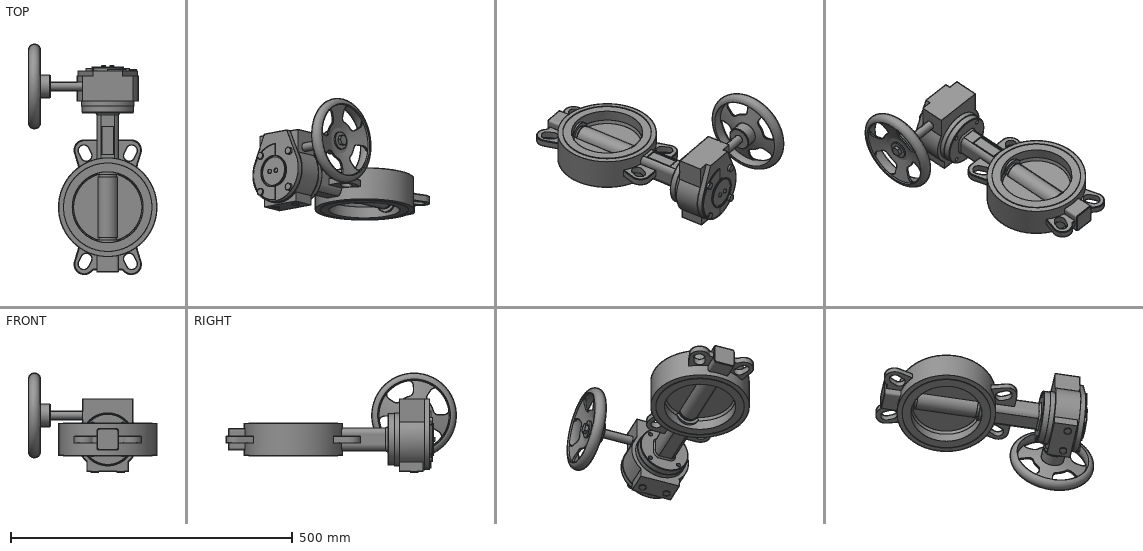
import cadquery as cq
import math


RING_RADIUS = 87.5
RING_HALF_HEIGHT = 28.2
SEAT_RADIUS = 78.5
SEAT_HALF_HEIGHT = 29.5
BORE_RADIUS = 63.0
THROAT_RAMP_Z = 10.0
THROAT_RADIUS = 60.5

DISC_HALF_THICKNESS = 4.0
HUB_RADIUS = 18.0
HUB_HALF_LENGTH = 54.0
STEM_RADIUS = 16.5
COLLAR_RADIUS = 22.5
COLLAR_START_Y = 58.5

LUG_X = 41.7
LUG_Y = 101.5
LUG_RADIUS = 18.0
LUG_THICKNESS = 12.3
LUG_ROOT_X = 50.5
LUG_ROOT_Y = 67.5
LUG_EDGE_CHAMFER = 1.2
LOWER_WEB_Y = 111.2
LOWER_WEB_FILLET = 4.0
SLOT_RADIUS = 10.0
SLOT_OUTER = (42.5, 100.5)
SLOT_INNER = (38.0, 91.5)

NECK_HALF_WIDTH = 19.2
NECK_HALF_HEIGHT = 20.5
NECK_TOP_FLAT = 12.0
NECK_SIDE_FLAT = 7.8
NECK_BULGE = (17.0, 16.0)
NECK_FLARE_LENGTH = 3.5
NECK_FLARE = 2.0
LABEL_WIDTH = 20.5
LABEL_START_Y = 93.5
LABEL_END_Y = 143.0
LABEL_DEPTH = 2.0
FOOT_HALF_SIZE = 19.2
FOOT_END_Y = 115.5
FOOT_CORNER = 4.5
FOOT_END_CHAMFER = 1.2

FLANGE_START_Y = 167.5
FLANGE_SPLIT_Y = 179.5
FLANGE_RADIUS = 46.0
GEARBOX_FLANGE_RADIUS = 47.0
FLANGE_CHAMFER = 1.2
BOLT_CIRCLE_RADIUS = 38.0
BOLT_HOLE_RADIUS = 3.5
BOLT_HOLE_DEPTH = 6.0

CASE_START_Y = 188.0
CASE_END_Y = 232.7
CASE_RADIUS = 54.5
COVER_RADIUS = 53.0
COVER_END_Y = 242.0
RIM_PLATE_RADIUS = 50.7
RIM_PLATE_END_Y = 244.0
BLOCK_HALF_WIDTH = 44.5
BLOCK_TOP_Z = 72.0
BLOCK_TONGUE_WIDTH = 52.5
BASE_WIDTH = 73.5
BASE_BOTTOM_Z = -57.0
BASE_END_Y = 230.0
PAD_RADIUS = 6.5
PAD_X = 23.0
PAD_Y = 214.7
PAD_BOTTOM_Z = -59.0
SCREW_OFFSET = 32.7
SCREW_RADIUS = 6.0
SCREW_END_Y = 246.5
CAP_BASE_RADIUS = 25.8
CAP_RADIUS = 28.2
CAP_LIP = 1.5
CAP_END_Y = 249.0
POINTER_X = 7.5
POINTER_RADIUS = 3.5
POINTER_FILLET = 1.5
POINTER_END_Y = 251.5

WHEEL_Y = 214.5
WHEEL_Z = 42.5
WHEEL_RADIUS = 75.3
WHEEL_FRONT_X = -140.5
RIM_WIDTH = 21.3
RIM_INNER_BULGE = 2.5
SHAFT_RADIUS = 7.8
WHEEL_HUB_RADIUS = 20.5
WHEEL_HUB_END_X = -102.0
WHEEL_HUB_CHAMFER = 1.2
WEB_THICKNESS = 3.3
WEB_OUTER_X = -138.2
WEB_INNER_X = -126.8
WEB_HUB_RADIUS = 23.0
BOSS_RADIUS = 15.5
BOSS_HEIGHT = 3.0
NUT_FLATS = 16.0
NUT_HEIGHT = 6.0
WINDOW_COUNT = 4
WINDOW_INNER_RADIUS = 35.0
WINDOW_OUTER_RADIUS = 63.5
WINDOW_HALF_ANGLE = 27.4
WINDOW_FIRST_ANGLE = 29.0
WINDOW_CORNER = 9.5


def y_cylinder(radius, start_y, end_y, x=0, z=0):
    """Cylinder along Y between two Y positions."""
    length = end_y - start_y
    return cq.Workplane("XZ", origin=(x, start_y, z)).circle(radius).extrude(-length)


def x_cylinder(radius, start_x, end_x):
    """Cylinder along X on the handwheel axis."""
    return cq.Workplane("YZ", origin=(start_x, WHEEL_Y, WHEEL_Z)).circle(radius).extrude(end_x - start_x)


def box_between(x_range, y_range, z_range):
    """Box given by its limits along each axis."""
    size = [limits[1] - limits[0] for limits in (x_range, y_range, z_range)]
    corner = (x_range[0], y_range[0], z_range[0])
    return cq.Workplane("XY").box(*size, centered=False).translate(corner)



def ring():
    """Ring with a slightly raised seat on both faces."""
    body = cq.Workplane("XY").circle(RING_RADIUS).extrude(RING_HALF_HEIGHT, both=True)
    seat = cq.Workplane("XY").circle(SEAT_RADIUS).extrude(SEAT_HALF_HEIGHT, both=True)
    return body.union(seat)


def bore():
    """Straight passage with a narrower throat gripping the disc."""
    profile = [
        (0, -SEAT_HALF_HEIGHT),
        (BORE_RADIUS, -SEAT_HALF_HEIGHT),
        (BORE_RADIUS, -THROAT_RAMP_Z),
        (THROAT_RADIUS, -DISC_HALF_THICKNESS),
        (THROAT_RADIUS, DISC_HALF_THICKNESS),
        (BORE_RADIUS, THROAT_RAMP_Z),
        (BORE_RADIUS, SEAT_HALF_HEIGHT),
        (0, SEAT_HALF_HEIGHT),
    ]
    return cq.Workplane("XZ").polyline(profile).close().revolve(360, (0, 0), (0, 1))


def disc():
    """Closing plate with its hub and the stem ends entering collars on the bore wall."""
    plate = cq.Workplane("XY").circle(THROAT_RADIUS).extrude(DISC_HALF_THICKNESS, both=True)
    hub = y_cylinder(HUB_RADIUS, -HUB_HALF_LENGTH, HUB_HALF_LENGTH)
    collar_end = (BORE_RADIUS + RING_RADIUS) / 2
    stem = y_cylinder(STEM_RADIUS, -collar_end, collar_end)
    collar = y_cylinder(COLLAR_RADIUS, COLLAR_START_Y, collar_end)
    return plate.union(hub).union(stem).union(collar).union(collar.mirror("XZ"))


def lug(x_side, y_side, web_y):
    """Rounded ear tapering into the ring, with a web reaching the neck."""
    reach = math.hypot(LUG_ROOT_X - LUG_X, LUG_Y - LUG_ROOT_Y)
    lean = math.atan2(LUG_ROOT_X - LUG_X, LUG_Y - LUG_ROOT_Y)
    tangent_angle = math.acos(LUG_RADIUS / reach) + lean - math.pi / 2
    tangent = (
        LUG_X + LUG_RADIUS * math.cos(tangent_angle),
        LUG_Y + LUG_RADIUS * math.sin(tangent_angle),
    )
    web = cq.Workplane("XY").polyline(
        [(0, LUG_ROOT_Y), (LUG_ROOT_X, LUG_ROOT_Y), tangent, (LUG_X, LUG_Y), (LUG_X, web_y), (0, web_y)]
    )
    ear = web.close().extrude(LUG_THICKNESS)
    ear = ear.union(cq.Workplane("XY").center(LUG_X, LUG_Y).circle(LUG_RADIUS).extrude(LUG_THICKNESS))
    web_drop = LUG_Y + LUG_RADIUS - web_y
    if web_drop > 0:
        corner_x = LUG_X - math.sqrt(LUG_RADIUS**2 - (web_y - LUG_Y) ** 2)
        corner = cq.selectors.NearestToPointSelector((corner_x, web_y, LUG_THICKNESS / 2))
        ear = ear.edges("|Z").edges(corner).fillet(LOWER_WEB_FILLET)
    ear = ear.faces(">Z").chamfer(LUG_EDGE_CHAMFER).cut(lug_slot())
    ear = ear.translate((0, 0, -LUG_THICKNESS / 2))
    if x_side < 0:
        ear = ear.mirror("YZ")
    if y_side < 0:
        ear = ear.mirror("XZ")
    return ear


def lug_slot():
    """Bolt slot aimed at the flow axis."""
    run_x = SLOT_OUTER[0] - SLOT_INNER[0]
    run_y = SLOT_OUTER[1] - SLOT_INNER[1]
    length = math.hypot(run_x, run_y) + 2 * SLOT_RADIUS
    angle = math.degrees(math.atan2(run_y, run_x))
    middle_x = (SLOT_OUTER[0] + SLOT_INNER[0]) / 2
    middle_y = (SLOT_OUTER[1] + SLOT_INNER[1]) / 2
    slot = cq.Workplane("XY").center(middle_x, middle_y).slot2D(length, 2 * SLOT_RADIUS, angle)
    return slot.extrude(LUG_THICKNESS)


def neck_outline(y):
    """Neck section at a given Y: flat faces joined by broad rounded corners."""
    bulge_x, bulge_z = NECK_BULGE
    return (
        cq.Workplane("ZX", origin=(0, y, 0))
        .moveTo(NECK_HALF_HEIGHT, -NECK_TOP_FLAT)
        .lineTo(NECK_HALF_HEIGHT, NECK_TOP_FLAT)
        .threePointArc((bulge_z, bulge_x), (NECK_SIDE_FLAT, NECK_HALF_WIDTH))
        .lineTo(-NECK_SIDE_FLAT, NECK_HALF_WIDTH)
        .threePointArc((-bulge_z, bulge_x), (-NECK_HALF_HEIGHT, NECK_TOP_FLAT))
        .lineTo(-NECK_HALF_HEIGHT, -NECK_TOP_FLAT)
        .threePointArc((-bulge_z, -bulge_x), (-NECK_SIDE_FLAT, -NECK_HALF_WIDTH))
        .lineTo(NECK_SIDE_FLAT, -NECK_HALF_WIDTH)
        .threePointArc((bulge_z, -bulge_x), (NECK_HALF_HEIGHT, -NECK_TOP_FLAT))
        .close()
    )


def neck():
    """Stem housing with a label recess on top and a flare at the flange."""
    flare_angle = math.degrees(math.atan2(NECK_FLARE, NECK_FLARE_LENGTH))
    flare_start = FLANGE_START_Y - NECK_FLARE_LENGTH
    column = neck_outline(0).extrude(FLANGE_START_Y)
    flare = neck_outline(flare_start).extrude(NECK_FLARE_LENGTH, taper=-flare_angle)
    label = box_between(
        (-LABEL_WIDTH / 2, LABEL_WIDTH / 2),
        (LABEL_START_Y, LABEL_END_Y),
        (NECK_HALF_HEIGHT - LABEL_DEPTH, NECK_HALF_HEIGHT),
    )
    return column.union(flare).cut(label)


def foot():
    """Rounded block closing the lower end of the stem."""
    side = 2 * FOOT_HALF_SIZE
    block = cq.Workplane("XZ").rect(side, side).extrude(FOOT_END_Y).edges("|Y").fillet(FOOT_CORNER)
    return block.faces("<Y").chamfer(FOOT_END_CHAMFER)


def valve_body():
    body = ring().union(neck()).union(foot())
    for x_side in (-1, 1):
        body = body.union(lug(x_side, 1, LUG_Y + LUG_RADIUS))
        body = body.union(lug(x_side, -1, LOWER_WEB_Y))
    return body.cut(bore()).union(disc())



def flanges():
    lower = y_cylinder(FLANGE_RADIUS, FLANGE_START_Y, FLANGE_SPLIT_Y).faces("<Y").chamfer(FLANGE_CHAMFER)
    upper = y_cylinder(GEARBOX_FLANGE_RADIUS, FLANGE_SPLIT_Y, CASE_START_Y)
    pair = lower.union(upper)
    offset = BOLT_CIRCLE_RADIUS * math.sqrt(0.5)
    for x in (-offset, offset):
        for z in (-offset, offset):
            hole = y_cylinder(BOLT_HOLE_RADIUS, FLANGE_START_Y, FLANGE_START_Y + BOLT_HOLE_DEPTH, x, z)
            pair = pair.cut(hole)
    return pair


def cover():
    """Round cover whose flat sides run tangentially up to the top of the block."""
    half_width = BLOCK_TONGUE_WIDTH / 2
    corner_angle = math.atan2(BLOCK_TOP_Z, half_width)
    tangent_angle = corner_angle - math.acos(COVER_RADIUS / math.hypot(half_width, BLOCK_TOP_Z))
    tangent_x = COVER_RADIUS * math.cos(tangent_angle)
    tangent_z = COVER_RADIUS * math.sin(tangent_angle)
    outline = (
        cq.Workplane("XZ", origin=(0, CASE_END_Y, 0))
        .moveTo(-tangent_x, tangent_z)
        .lineTo(-half_width, BLOCK_TOP_Z)
        .lineTo(half_width, BLOCK_TOP_Z)
        .lineTo(tangent_x, tangent_z)
        .threePointArc((0, -COVER_RADIUS), (-tangent_x, tangent_z))
        .close()
    )
    return outline.extrude(CASE_END_Y - COVER_END_Y)


def case():
    drum = y_cylinder(CASE_RADIUS, CASE_START_Y, CASE_END_Y)
    rim_plate = y_cylinder(RIM_PLATE_RADIUS, COVER_END_Y, RIM_PLATE_END_Y)
    rim_plate = rim_plate.intersect(
        box_between((0, CASE_RADIUS), (COVER_END_Y, RIM_PLATE_END_Y), (-CASE_RADIUS, CASE_RADIUS))
    )
    block = box_between(
        (-BLOCK_HALF_WIDTH, BLOCK_HALF_WIDTH), (CASE_START_Y, CASE_END_Y), (0, BLOCK_TOP_Z)
    )
    base = box_between((-BASE_WIDTH / 2, BASE_WIDTH / 2), (CASE_START_Y, BASE_END_Y), (BASE_BOTTOM_Z, 0))
    body = drum.union(cover()).union(rim_plate).union(block).union(base)
    for x in (-PAD_X, PAD_X):
        pad = cq.Workplane("XY", origin=(x, PAD_Y, PAD_BOTTOM_Z)).circle(PAD_RADIUS).extrude(-PAD_BOTTOM_Z)
        body = body.union(pad)
    return body


def cover_details():
    """Cover screws, flared indicator cap and its two small screws."""
    cap = y_cylinder(CAP_BASE_RADIUS, COVER_END_Y, CAP_END_Y)
    cap = cap.union(y_cylinder(CAP_RADIUS, CAP_END_Y - CAP_LIP, CAP_END_Y))
    for x in (-POINTER_X, POINTER_X):
        screw = y_cylinder(POINTER_RADIUS, COVER_END_Y, POINTER_END_Y, x)
        cap = cap.union(screw.faces(">Y").edges().fillet(POINTER_FILLET))
    for x in (-SCREW_OFFSET, SCREW_OFFSET):
        for z in (-SCREW_OFFSET, SCREW_OFFSET):
            cap = cap.union(y_cylinder(SCREW_RADIUS, COVER_END_Y, SCREW_END_Y, x, z))
    return cap



def wheel_plane():
    """Sketch plane holding the wheel axis: local x is the radius, local y is global X."""
    return cq.Workplane(cq.Plane(origin=(0, WHEEL_Y, WHEEL_Z), xDir=(0, 1, 0), normal=(0, 0, -1)))


def wheel_rim():
    """Half-round rim with a slightly bulging inner side."""
    half_width = RIM_WIDTH / 2
    inner = WHEEL_RADIUS - half_width
    middle_x = WHEEL_FRONT_X + half_width
    back_x = WHEEL_FRONT_X + RIM_WIDTH
    profile = (
        wheel_plane()
        .moveTo(inner, WHEEL_FRONT_X)
        .threePointArc((WHEEL_RADIUS, middle_x), (inner, back_x))
        .threePointArc((inner - RIM_INNER_BULGE, middle_x), (inner, WHEEL_FRONT_X))
    )
    return profile.close().revolve(360, (0, 0), (0, 1))


def wheel_web():
    """Dished web sinking from the rim towards the hub."""
    outer = WHEEL_RADIUS - RIM_WIDTH / 2
    profile = wheel_plane().polyline(
        [
            (0, WEB_INNER_X),
            (WEB_HUB_RADIUS, WEB_INNER_X),
            (outer, WEB_OUTER_X),
            (outer, WEB_OUTER_X + WEB_THICKNESS),
            (WEB_HUB_RADIUS, WEB_INNER_X + WEB_THICKNESS),
            (0, WEB_INNER_X + WEB_THICKNESS),
        ]
    )
    return profile.close().revolve(360, (0, 0), (0, 1))


def wheel_window():
    """Rounded sector-shaped opening, centred on the +Y direction of the wheel."""
    def at(radius, degrees):
        angle = math.radians(degrees)
        return (radius * math.cos(angle), radius * math.sin(angle))

    outline = (
        cq.Workplane("YZ", origin=(WHEEL_FRONT_X, WHEEL_Y, WHEEL_Z))
        .moveTo(*at(WINDOW_INNER_RADIUS, -WINDOW_HALF_ANGLE))
        .lineTo(*at(WINDOW_OUTER_RADIUS, -WINDOW_HALF_ANGLE))
        .threePointArc((WINDOW_OUTER_RADIUS, 0), at(WINDOW_OUTER_RADIUS, WINDOW_HALF_ANGLE))
        .lineTo(*at(WINDOW_INNER_RADIUS, WINDOW_HALF_ANGLE))
        .threePointArc((WINDOW_INNER_RADIUS, 0), at(WINDOW_INNER_RADIUS, -WINDOW_HALF_ANGLE))
        .close()
    )
    return outline.extrude(RIM_WIDTH).edges("|X").fillet(WINDOW_CORNER)


def handwheel():
    web = wheel_web()
    axis_start = (0, WHEEL_Y, WHEEL_Z)
    axis_end = (1, WHEEL_Y, WHEEL_Z)
    window = wheel_window()
    for index in range(WINDOW_COUNT):
        angle = WINDOW_FIRST_ANGLE + index * 360 / WINDOW_COUNT
        web = web.cut(window.rotate(axis_start, axis_end, angle))
    hub = x_cylinder(WHEEL_HUB_RADIUS, WEB_INNER_X, WHEEL_HUB_END_X).faces(">X").chamfer(WHEEL_HUB_CHAMFER)
    boss = x_cylinder(BOSS_RADIUS, WEB_INNER_X - BOSS_HEIGHT, WEB_INNER_X)
    nut_start = WEB_INNER_X - BOSS_HEIGHT - NUT_HEIGHT
    nut_corners = NUT_FLATS / math.cos(math.pi / 6)
    nut = cq.Workplane("YZ", origin=(nut_start, WHEEL_Y, WHEEL_Z)).polygon(6, nut_corners)
    nut = nut.extrude(NUT_HEIGHT)
    shaft = x_cylinder(SHAFT_RADIUS, WHEEL_HUB_END_X, -BLOCK_HALF_WIDTH)
    return web.union(wheel_rim()).union(hub).union(boss).union(nut).union(shaft)


result = valve_body().union(flanges()).union(case()).union(cover_details()).union(handwheel())